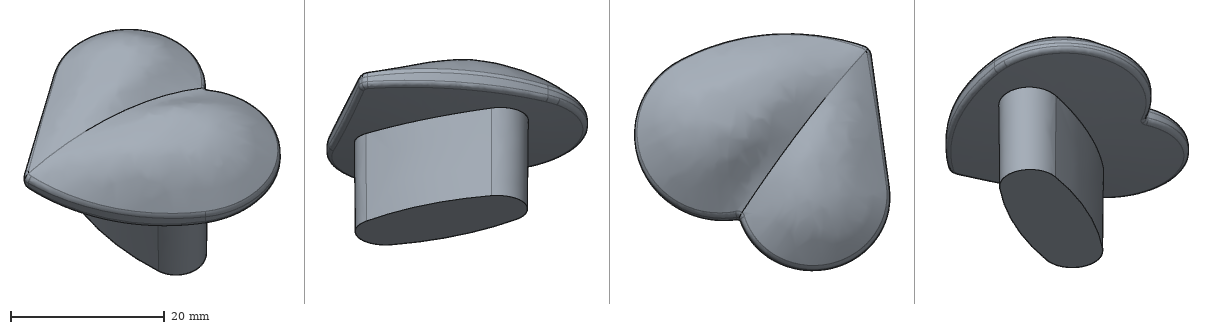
import cadquery as cq
import math

left_center = (-8.0, 5.55)
left_radius = 10.0
right_center = (6.55, 4.1)
right_radius = 11.45
tip_center = (-3.78, -14.05)
tip_radius = 1.5
flank_radius = 30.0
notch_radius = 0.5
crease_aim = (-4.4, -15.8)

rim_height = 15.3
crease_height = 18.6
underside_height = 12.3
underside_radius = 124.9
base_height = underside_height - 1.45
top_rounding = 1.0
bottom_rounding = 0.72

left_dome_points = [
    (-7.55, 2.88, 19.72),
    (-4.32, 3.25, 19.3),
    (-10.3, 5.0, 19.47),
    (-14.4, 5.05, 17.92),
    (-8.45, 10.55, 18.65),
    (-9.07, -2.3, 18.45),
]
right_dome_points = [
    (5.95, 0.72, 20.85),
    (1.45, 3.25, 20.12),
    (8.0, 4.9, 20.6),
    (14.05, 3.95, 18.55),
    (6.37, 10.45, 18.9),
    (6.62, -4.32, 20.05),
]

shank_end_offset = 8.0
shank_end_radius = 4.0
shank_half_depth = 5.0
shank_flare = 0.5
shank_top = rim_height - 1.62


def circle_crossing(center_a, radius_a, center_b, radius_b):
    """Crossing of two circles, on the left when looking from a to b."""
    distance = math.dist(center_a, center_b)
    along = (distance**2 + radius_a**2 - radius_b**2) / (2 * distance)
    across = math.sqrt(radius_a**2 - along**2)
    ux = (center_b[0] - center_a[0]) / distance
    uy = (center_b[1] - center_a[1]) / distance
    return (center_a[0] + along * ux - across * uy, center_a[1] + along * uy + across * ux)


def toward(start, target, length):
    """Point at the given length from start in the direction of target."""
    share = length / math.dist(start, target)
    return (start[0] + share * (target[0] - start[0]), start[1] + share * (target[1] - start[1]))


def middle(a, b):
    return ((a[0] + b[0]) / 2, (a[1] + b[1]) / 2)


def arc(start, through, end, z):
    return cq.Edge.makeThreePointArc(cq.Vector(*start, z), cq.Vector(*through, z), cq.Vector(*end, z))


def short_arc(center, radius, start, end, z):
    return arc(start, toward(center, middle(start, end), radius), end, z)


def line(start, end, z):
    return cq.Edge.makeLine(cq.Vector(*start, z), cq.Vector(*end, z))


axis_angle = math.atan2(tip_center[1] - left_center[1], tip_center[0] - left_center[0])
normal_angle = axis_angle - math.acos((left_radius - tip_radius) / math.dist(left_center, tip_center))
normal = (math.cos(normal_angle), math.sin(normal_angle))
left_flank_start = (left_center[0] + left_radius * normal[0], left_center[1] + left_radius * normal[1])
left_flank_end = (tip_center[0] + tip_radius * normal[0], tip_center[1] + tip_radius * normal[1])

flank_center = circle_crossing(
    tip_center, flank_radius - tip_radius, right_center, flank_radius - right_radius
)
right_flank_start = toward(flank_center, tip_center, flank_radius)
right_flank_end = toward(flank_center, right_center, flank_radius)

notch_center = circle_crossing(
    left_center, left_radius + notch_radius, right_center, right_radius + notch_radius
)
notch_left = toward(left_center, notch_center, left_radius)
notch_right = toward(right_center, notch_center, right_radius)

crease_start = toward(notch_center, crease_aim, notch_radius)
crease_end = toward(tip_center, crease_aim, tip_radius)


def left_outline(z):
    """Left half of the heart, from the notch down to the tip."""
    outermost = (left_center[0] - left_radius, left_center[1])
    return [
        short_arc(notch_center, notch_radius, crease_start, notch_left, z),
        arc(notch_left, outermost, left_flank_start, z),
        line(left_flank_start, left_flank_end, z),
        short_arc(tip_center, tip_radius, left_flank_end, crease_end, z),
    ]


def right_outline(z):
    """Right half of the heart, from the tip up to the notch."""
    outermost = (right_center[0] + right_radius, right_center[1])
    return [
        short_arc(tip_center, tip_radius, crease_end, right_flank_start, z),
        short_arc(flank_center, flank_radius, right_flank_start, right_flank_end, z),
        arc(right_flank_end, outermost, notch_right, z),
        short_arc(notch_center, notch_radius, notch_right, crease_start, z),
    ]


def lobe(outline, dome_points):
    """One half of the head: flat base, upright walls, domed skin and a rounded rim."""
    rim = outline(rim_height)
    base = outline(base_height)
    crease = cq.Edge.makeThreePointArc(
        cq.Vector(*crease_start, rim_height),
        cq.Vector(*middle(crease_start, crease_end), crease_height),
        cq.Vector(*crease_end, rim_height),
    )
    base_chord = line(crease_start, crease_end, base_height)
    crease_wall_edges = [crease, base_chord]
    for end in (crease_start, crease_end):
        crease_wall_edges.append(
            cq.Edge.makeLine(cq.Vector(*end, base_height), cq.Vector(*end, rim_height))
        )

    faces = [cq.Face.makeNSidedSurface(rim + [crease], [cq.Vector(*point) for point in dome_points])]
    faces.append(cq.Face.makeFromWires(cq.Wire.assembleEdges(base + [base_chord])))
    faces.append(cq.Face.makeFromWires(cq.Wire.combine(crease_wall_edges)[0]))
    for base_edge, rim_edge in zip(base, rim):
        faces.append(cq.Face.makeRuledSurface(base_edge, rim_edge))
    solid = cq.Workplane(cq.Solid.makeSolid(cq.Shell.makeShell(faces)))

    rim_tolerance = 0.05
    reach = left_radius + right_radius
    rim_band = cq.selectors.BoxSelector(
        (-reach, -reach, rim_height - rim_tolerance), (reach, reach, rim_height + rim_tolerance)
    )
    return solid.edges(rim_band).fillet(top_rounding)


def make_head():
    """Both lobes, with a shallow spherical underside and a rounded lower rim."""
    lobes = lobe(left_outline, left_dome_points).union(lobe(right_outline, right_dome_points))
    underside_ball = (
        cq.Workplane("XY", origin=(0, 0, underside_height + underside_radius)).sphere(underside_radius)
    )
    return lobes.intersect(underside_ball).faces("<Z").edges().fillet(bottom_rounding)


def make_shank():
    side_radius = (shank_end_offset**2 + shank_half_depth**2 - shank_end_radius**2) / (
        2 * (shank_half_depth - shank_end_radius)
    )
    side_center = (0, side_radius - shank_half_depth)
    x, y = toward(side_center, (shank_end_offset, 0), side_radius)
    end_x = shank_end_offset + shank_end_radius
    return (
        cq.Workplane("XY")
        .moveTo(-x, y)
        .threePointArc((0, -shank_half_depth), (x, y))
        .threePointArc((end_x, 0), (x, -y))
        .threePointArc((0, shank_half_depth), (-x, -y))
        .threePointArc((-end_x, 0), (-x, y))
        .close()
        .extrude(shank_top, taper=-shank_flare)
    )


result = make_head().union(make_shank())